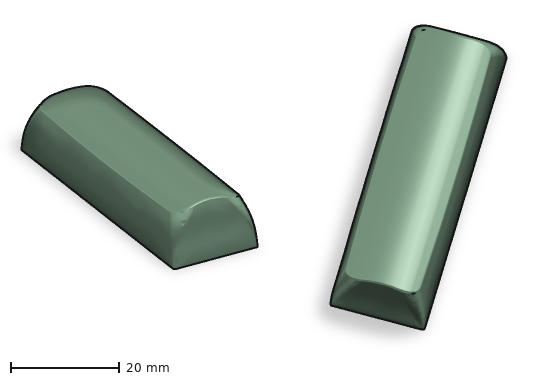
import cadquery as cq
import math

length = 56.34
width = 18.25
height = 11.39

wall_curve_start = 2.0
wall_curve_radius = 18.0

base_bow = 0.02
side_bow_per_height = 0.032
end_bow_per_height = 0.015

base_corner_radius = 0.55
corner_radius_per_height = 0.245

crown_radius = 15.4
rim_radius = 0.55

section_count = 7
crown_clearance = 0.6
body_height = height + crown_clearance


def wall_inset(z):
    """Distance a wall has moved inward from the base outline at height z."""
    rise = max(0.0, z - wall_curve_start)
    return wall_curve_radius - math.sqrt(wall_curve_radius**2 - rise**2)


def wall_section(z):
    """Closed outline at height z: four bowed sides with rounded corners."""
    half_length = length / 2 - wall_inset(z)
    half_width = width / 2 - wall_inset(z)
    corner_x = half_length - base_bow - end_bow_per_height * z
    corner_y = half_width - base_bow - side_bow_per_height * z
    outline = (
        cq.Workplane("XY", origin=(0, 0, z))
        .moveTo(-corner_x, -corner_y)
        .threePointArc((0, -half_width), (corner_x, -corner_y))
        .threePointArc((half_length, 0), (corner_x, corner_y))
        .threePointArc((0, half_width), (-corner_x, corner_y))
        .threePointArc((-half_length, 0), (-corner_x, -corner_y))
        .close()
        .val()
    )
    corner_radius = base_corner_radius + corner_radius_per_height * z
    return outline.fillet2D(corner_radius, outline.Vertices())


def make_walls():
    """Smooth loft through the wall sections."""
    step = body_height / (section_count - 1)
    sections = [wall_section(step * i) for i in range(section_count)]
    return cq.Workplane(cq.Solid.makeLoft(sections))


def make_crown():
    """Cylinder along X whose upper side forms the top face."""
    return (
        cq.Workplane("YZ", origin=(-length, 0, 0))
        .center(0, height - crown_radius)
        .circle(crown_radius)
        .extrude(2 * length)
    )


def round_rim(body):
    """Fillet the edge all around the crowned top face."""
    return body.faces(">Z").edges().fillet(rim_radius)


result = round_rim(make_walls().intersect(make_crown()))